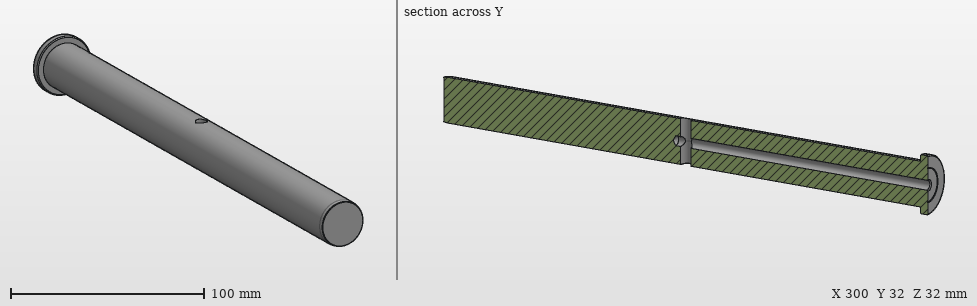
import cadquery as cq
import math

length = 300.0
head_diameter = 32.0
head_thickness = 4.8
head_chamfer = 0.5
shank_diameter = 25.0

lead_in_length = 2.5
lead_in_depth = 0.3
tip_chamfer = 0.3

cross_hole_diameter = 6.3
bore_diameter = 5.0
bore_chamfer = 0.5
bore_overrun = 3.0
drill_point_angle = 118.0

groove_diameter = 18.3
groove_width = 0.3
groove_depth = 0.3

head_face_x = -length / 2
tip_x = length / 2


def revolve_about_x(points):
    """Solid of revolution about the X axis from a closed (x, radius) outline."""
    return cq.Workplane("XY").polyline(points).close().revolve(360, (0, 0, 0), (1, 0, 0))


def pin_body():
    """Pin with a chamfered head and a tapered plain end."""
    head_radius = head_diameter / 2
    shank_radius = shank_diameter / 2
    tip_radius = shank_radius - lead_in_depth
    head_back_x = head_face_x + head_thickness
    return revolve_about_x([
        (head_face_x, 0),
        (head_face_x, head_radius - head_chamfer),
        (head_face_x + head_chamfer, head_radius),
        (head_back_x - head_chamfer, head_radius),
        (head_back_x, head_radius - head_chamfer),
        (head_back_x, shank_radius),
        (tip_x - lead_in_length, shank_radius),
        (tip_x - tip_chamfer, tip_radius),
        (tip_x, tip_radius - tip_chamfer),
        (tip_x, 0),
    ])


def axial_bore():
    """Chamfered drilled bore from the head face to just past the cross hole."""
    bore_radius = bore_diameter / 2
    bore_end_x = cross_hole_diameter / 2 + bore_overrun
    point_length = bore_radius / math.tan(math.radians(drill_point_angle / 2))
    return revolve_about_x([
        (head_face_x, 0),
        (head_face_x, bore_radius + bore_chamfer),
        (head_face_x + bore_chamfer, bore_radius),
        (bore_end_x, bore_radius),
        (bore_end_x + point_length, 0),
    ])


def cross_hole():
    """Vertical hole right through the shank at mid-length."""
    return (
        cq.Workplane("XY")
        .circle(cross_hole_diameter / 2)
        .extrude(shank_diameter, both=True)
    )


def ring_groove():
    """Shallow circular groove in the head face."""
    return (
        cq.Workplane("YZ", origin=(head_face_x, 0, 0))
        .circle((groove_diameter + groove_width) / 2)
        .circle((groove_diameter - groove_width) / 2)
        .extrude(groove_depth)
    )


result = pin_body().cut(axial_bore()).cut(cross_hole()).cut(ring_groove())